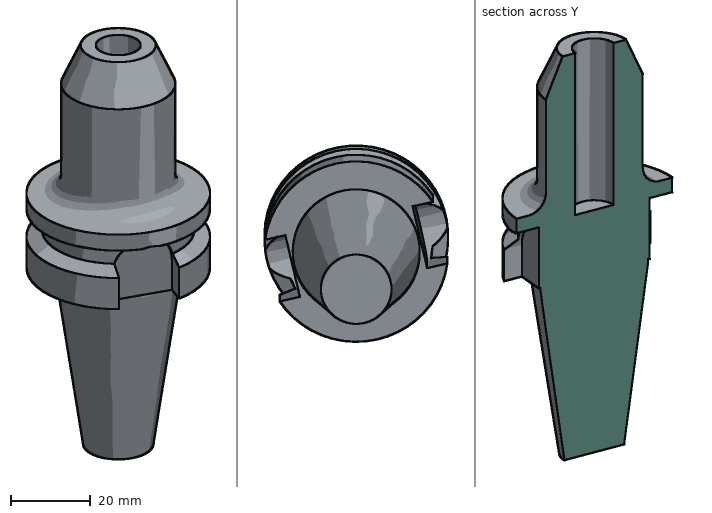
import cadquery as cq

total_height = 111.9
taper_length = 48.5
flange_bottom = 49.5
lower_rim_top = 58.2
groove_bottom = 60.2
groove_top = 63.9
upper_rim_bottom = 65.9
flange_top = 70.4
nose_cone_bottom = 101.2

taper_small_radius = 8.8
taper_large_radius = 15.9
flange_radius = 46.0 / 2
groove_radius = 19.1
body_radius = 14.3
nose_radius = 9.4
body_fillet = 5.0

bore_radius = 5.6
bore_depth = 44.8

slot_width = 16.1
slot_floor_distance = 16.3
slot_arch_center = lower_rim_top


def revolved_body():
    """Taper, grooved flange, filleted body and conical nose in one revolve."""
    quarter_turn = 2 ** -0.5
    fillet_mid = body_fillet * (1 - quarter_turn)
    profile = (
        cq.Workplane("XZ")
        .lineTo(taper_small_radius, 0)
        .lineTo(taper_large_radius, taper_length)
        .lineTo(taper_large_radius, flange_bottom)
        .lineTo(flange_radius, flange_bottom)
        .lineTo(flange_radius, lower_rim_top)
        .lineTo(groove_radius, groove_bottom)
        .lineTo(groove_radius, groove_top)
        .lineTo(flange_radius, upper_rim_bottom)
        .lineTo(flange_radius, flange_top)
        .lineTo(body_radius + body_fillet, flange_top)
        .threePointArc(
            (body_radius + fillet_mid, flange_top + fillet_mid),
            (body_radius, flange_top + body_fillet),
        )
        .lineTo(body_radius, nose_cone_bottom)
        .lineTo(nose_radius, total_height)
        .lineTo(0, total_height)
        .close()
    )
    return profile.revolve(360, (0, 0, 0), (0, 1, 0))


def drive_slot(side):
    """Round-topped slot cutter; side is -1 for -X and +1 for +X."""
    half_width = slot_width / 2
    return (
        cq.Workplane("YZ", origin=(side * slot_floor_distance, 0, 0))
        .moveTo(-half_width, flange_bottom)
        .lineTo(half_width, flange_bottom)
        .lineTo(half_width, slot_arch_center)
        .threePointArc((0, slot_arch_center + half_width), (-half_width, slot_arch_center))
        .close()
        .extrude(side * flange_radius)
    )


def tool_bore():
    """Blind cylindrical bore from the nose face."""
    return (
        cq.Workplane("XY", origin=(0, 0, total_height - bore_depth))
        .circle(bore_radius)
        .extrude(bore_depth)
    )


result = revolved_body().cut(tool_bore())
for side in (-1, 1):
    result = result.cut(drive_slot(side))